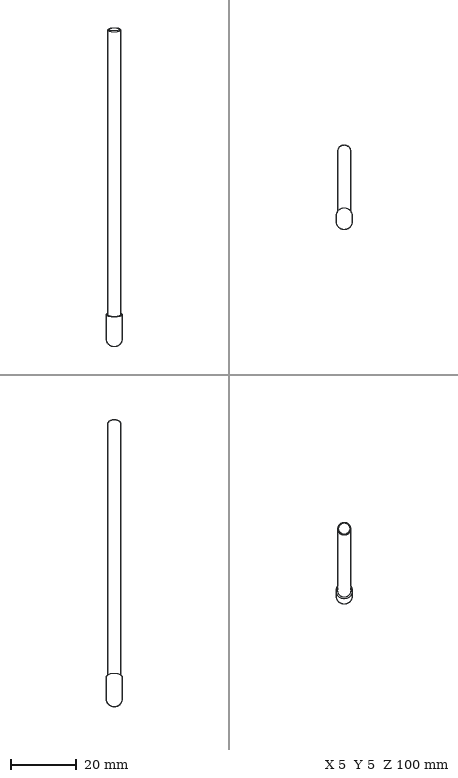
import cadquery as cq
import math

total_length = 100.0
rod_diameter = 4.0
tip_diameter = 5.0
tip_length = 10.0
rod_end_chamfer = 0.3

rod_radius = rod_diameter / 2
tip_radius = tip_diameter / 2
dome_bottom_z = 0.0
dome_top_z = dome_bottom_z + tip_radius
collar_top_z = dome_bottom_z + tip_length
rod_top_z = dome_bottom_z + total_length
arc_mid_offset = tip_radius * math.sqrt(0.5)


def make_rod_with_domed_tip():
    """Revolve the half profile: hemispherical tip, wider collar, slim rod."""
    profile = (
        cq.Workplane("XZ")
        .moveTo(0, dome_bottom_z)
        .threePointArc((arc_mid_offset, dome_top_z - arc_mid_offset), (tip_radius, dome_top_z))
        .lineTo(tip_radius, collar_top_z)
        .lineTo(rod_radius, collar_top_z)
        .lineTo(rod_radius, rod_top_z)
        .lineTo(0, rod_top_z)
        .close()
    )
    return profile.revolve(360, (0, 0), (0, 1))


def chamfer_rod_end(rod):
    """Bevel the rim of the rod's flat upper end."""
    return rod.faces(">Z").edges().chamfer(rod_end_chamfer)


result = chamfer_rod_end(make_rod_with_domed_tip())